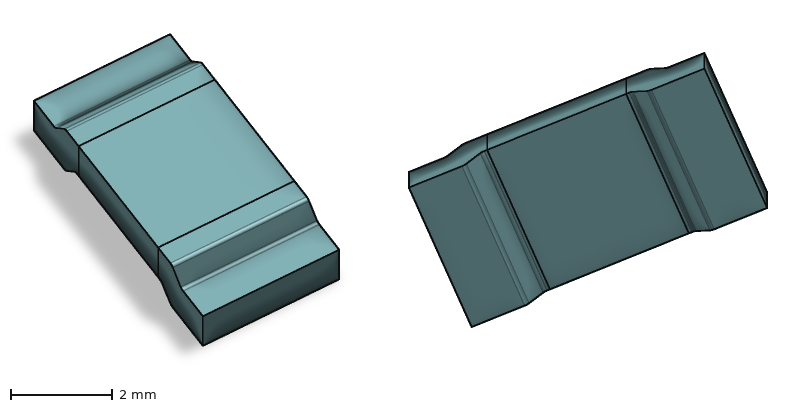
import cadquery as cq
import math

length = 6.35
width = 3.17
thickness = 0.95
step_height = 0.375

element_length = 2.985

ramp_angle = 45.0
upper_bend_start = 0.8
outer_bend_radius = 0.135
inner_bend_radius = 0.12

selection_reach = 0.005

lower_bend_start = upper_bend_start + thickness * math.tan(math.radians(ramp_angle / 2))
ramp_run = step_height / math.tan(math.radians(ramp_angle))

half_length = length / 2
half_element = element_length / 2
total_height = thickness + step_height


def make_element():
    """Raised flat plate spanning between the terminals."""
    return cq.Workplane("XY").box(
        element_length, width, thickness, centered=(True, True, False)
    ).translate((0, 0, step_height))


def edge_at(side, corner):
    """Selector for the bend edge along Y through one profile corner."""
    x, z = corner
    return cq.selectors.BoxSelector(
        (side * x - selection_reach, -selection_reach, z - selection_reach),
        (side * x + selection_reach, selection_reach, z + selection_reach),
    )


def bend_edges(side, upper_corner, lower_corner):
    """Selector for the matching upper and lower bend edges of a terminal."""
    return edge_at(side, upper_corner) + edge_at(side, lower_corner)


def make_terminal(side):
    """Stepped terminal at one end: side is -1 for -X, +1 for +X."""
    lower_outer = (half_length - lower_bend_start, 0)
    lower_inner = (half_length - lower_bend_start - ramp_run, step_height)
    upper_outer = (half_length - upper_bend_start - ramp_run, total_height)
    upper_inner = (half_length - upper_bend_start, thickness)
    profile = [
        (half_length, 0),
        lower_outer,
        lower_inner,
        (half_element, step_height),
        (half_element, total_height),
        upper_outer,
        upper_inner,
        (half_length, thickness),
    ]
    terminal = (
        cq.Workplane("XZ")
        .polyline([(side * x, z) for x, z in profile])
        .close()
        .extrude(width / 2, both=True)
    )
    terminal = terminal.edges(bend_edges(side, upper_outer, lower_outer)).fillet(outer_bend_radius)
    return terminal.edges(bend_edges(side, upper_inner, lower_inner)).fillet(inner_bend_radius)


element = make_element()
terminals = [make_terminal(side) for side in (-1, 1)]

result = cq.Compound.makeCompound([element.val(), *[terminal.val() for terminal in terminals]])